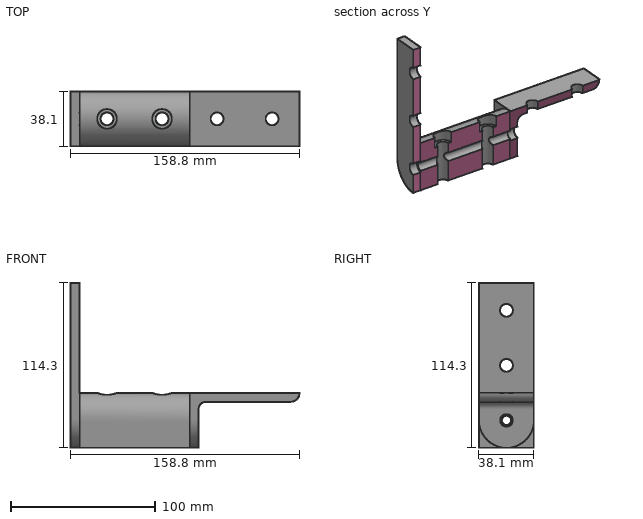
import cadquery as cq

width = 38.1
thickness = 6.4
hole_pitch = 38.1
block_length = 76.2
leaf_reach = 76.2
plate_height = 114.3

hole_diameter = 8.7
pivot_diameter = 6.4
counterbore_diameter = 13.7
counterbore_depth = 8.0
inner_fillet = 4.8

radius = width / 2
pivot_height = radius
block_start = thickness
block_end = block_start + block_length
leaf_end = block_end + leaf_reach
first_hole_offset = hole_pitch / 2


def cylinder_along_x(diameter, start, length, height):
    return (
        cq.Workplane("YZ", origin=(start, 0, height))
        .circle(diameter / 2)
        .extrude(length)
    )


def cylinder_along_z(diameter, x, bottom, height):
    return (
        cq.Workplane("XY", origin=(x, 0, bottom))
        .circle(diameter / 2)
        .extrude(height)
    )


def round_bottom_prism(start, length, top):
    """Upright prism along X with a semicircular lower end."""
    return (
        cq.Workplane("YZ", origin=(start, 0, 0))
        .moveTo(-radius, top)
        .lineTo(-radius, pivot_height)
        .threePointArc((0, 0), (radius, pivot_height))
        .lineTo(radius, top)
        .close()
        .extrude(length)
    )


def make_upright_plate():
    plate = round_bottom_prism(0, thickness, plate_height)
    for index in range(3):
        height = pivot_height + index * hole_pitch
        plate = plate.cut(cylinder_along_x(hole_diameter, 0, thickness, height))
    return plate


def make_block():
    block = (
        cq.Workplane("YZ", origin=(block_start, 0, 0))
        .moveTo(-radius, 0)
        .lineTo(radius, 0)
        .lineTo(radius, pivot_height)
        .threePointArc((0, width), (-radius, pivot_height))
        .close()
        .extrude(block_length)
    )
    block = block.cut(cylinder_along_x(pivot_diameter, block_start, block_length, pivot_height))

    for index in range(2):
        x = block_start + first_hole_offset + index * hole_pitch
        block = block.cut(cylinder_along_z(hole_diameter, x, 0, width))
        counterbore_floor = width - counterbore_depth
        block = block.cut(
            cylinder_along_z(counterbore_diameter, x, counterbore_floor, counterbore_depth)
        )
    return block


def make_angled_leaf():
    leaf_bottom = width - thickness
    leg_end = block_end + thickness
    leaf = (
        cq.Workplane("XZ", origin=(0, radius, 0))
        .moveTo(block_end, 0)
        .lineTo(leg_end, 0)
        .lineTo(leg_end, leaf_bottom - inner_fillet)
        .radiusArc((leg_end + inner_fillet, leaf_bottom), inner_fillet)
        .lineTo(leaf_end - thickness, leaf_bottom)
        .radiusArc((leaf_end, width), -thickness)
        .lineTo(block_end, width)
        .close()
        .extrude(width)
    )
    leaf = leaf.intersect(round_bottom_prism(block_end, leaf_reach, width))

    leaf = leaf.cut(cylinder_along_x(hole_diameter, block_end, thickness, pivot_height))
    for index in range(2):
        x = block_end + first_hole_offset + index * hole_pitch
        leaf = leaf.cut(cylinder_along_z(hole_diameter, x, leaf_bottom, thickness))
    return leaf


upright_plate = make_upright_plate()
block = make_block()
angled_leaf = make_angled_leaf()

result = cq.Compound.makeCompound([upright_plate.val(), block.val(), angled_leaf.val()])